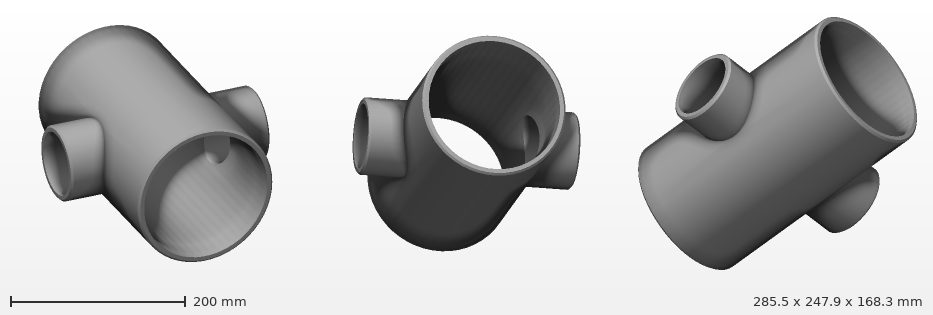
import cadquery as cq

run_length = 285.5
run_diameter = 168.28

branch_span = 247.9
branch_diameter = 88.9

wall = 7.11
bevel = wall / 3


def centred_bar(plane, length, diameter):
    """Round bar normal to the plane and centred on the origin."""
    return cq.Workplane(plane).circle(diameter / 2).extrude(length / 2, both=True)


def bevelled_bar(plane, length, diameter):
    """Centred round bar with both end edges bevelled."""
    return centred_bar(plane, length, diameter).edges("%CIRCLE").chamfer(bevel)


def bore(plane, length, outer_diameter):
    """Through bore that leaves the wall thickness inside the outer diameter."""
    return centred_bar(plane, length, outer_diameter - 2 * wall)


run_outside = bevelled_bar("YZ", run_length, run_diameter)
branch_outside = bevelled_bar("XZ", branch_span, branch_diameter)
run_bore = bore("YZ", run_length, run_diameter)
branch_bore = bore("XZ", branch_span, branch_diameter)

result = run_outside.union(branch_outside).cut(run_bore).cut(branch_bore)